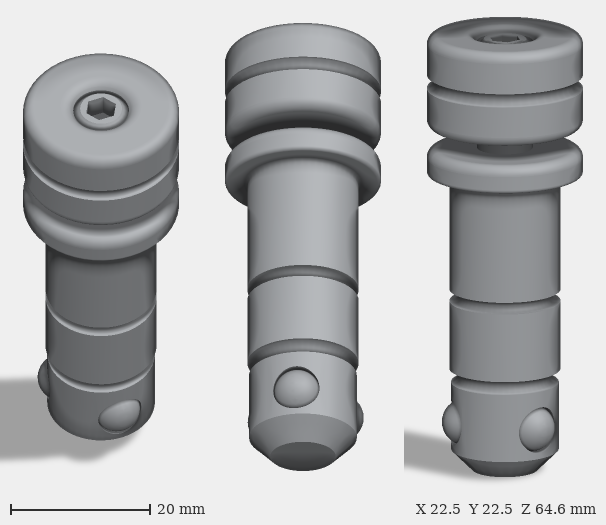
import cadquery as cq
import math


overall_height = 64.6

grip_radius = 11.25
grip_fillet = 1.5

groove_radius = 1.0

head_height = 13.95
head_bottom = overall_height - head_height
recess_radius = 5.8
recess_cone_radius = 4.4
recess_cone_angle = math.radians(45)

head_gap = 2.85
flange_top = head_bottom - head_gap
flange_height = 4.0
flange_bottom = flange_top - flange_height
flange_lower_fillet = 0.5
shank_radius = 8.0
shank_fillet = 0.5
neck_radius = 6.7

groove_cutter_clearance = 1.3
groove_cutter_radius = shank_radius + groove_cutter_clearance

upper_groove_center = 25.9
upper_groove_width = 1.75
upper_groove_fillet = 0.8

nose_radius = 7.75
nose_top = 13.0
nose_groove_center = nose_top + groove_radius
nose_chamfer = 3.05

ball_count = 3
ball_radius = 3.35
ball_offset = 5.8
ball_height = 7.3
ball_angles = [i * 360 / ball_count for i in range(ball_count)]

spindle_radius = 4.0
spindle_recess = 0.6
spindle_top = overall_height - spindle_recess
spindle_bottom = 11.6
spindle_chamfer = 1.0
hex_across_flats = 4.0
hex_depth = 3.2
hex_half_sector = 30


def make_head():
    """Round push button with a finger groove, bored for the spindle and dished at the top."""
    head = (
        cq.Workplane("XY", origin=(0, 0, head_bottom))
        .circle(grip_radius)
        .extrude(head_height)
        .edges()
        .fillet(grip_fillet)
    )
    middle = cq.Vector(0, 0, head_bottom + head_height / 2)
    groove = cq.Solid.makeTorus(grip_radius, groove_radius, middle, cq.Vector(0, 0, 1))
    return head.cut(cq.Workplane(groove)).cut(make_head_opening())


def make_head_opening():
    """Spindle bore opening through a cone into a lip that curves smoothly out to the top face."""
    lip_radius = (recess_radius - recess_cone_radius) / math.sin(recess_cone_angle)
    lip_bottom = overall_height - lip_radius * (1 - math.cos(recess_cone_angle))
    lip_middle = (
        recess_radius - lip_radius * math.sin(recess_cone_angle / 2),
        overall_height - lip_radius * (1 - math.cos(recess_cone_angle / 2)),
    )
    cone_depth = (recess_cone_radius - spindle_radius) * math.tan(recess_cone_angle)
    return (
        cq.Workplane("XZ")
        .moveTo(0, head_bottom)
        .lineTo(spindle_radius, head_bottom)
        .lineTo(spindle_radius, lip_bottom - cone_depth)
        .lineTo(recess_cone_radius, lip_bottom)
        .threePointArc(lip_middle, (recess_radius, overall_height))
        .lineTo(0, overall_height)
        .close()
        .revolve(360, (0, 0, 0), (0, 1, 0))
    )


def make_sleeve():
    """Flanged, grooved shank with a chamfered nose, a spindle bore and the ball pockets."""
    bore = (
        cq.Workplane("XY", origin=(0, 0, spindle_bottom))
        .circle(spindle_radius)
        .extrude(flange_top - spindle_bottom)
    )
    sleeve = make_flanged_shank().union(make_nose())
    sleeve = sleeve.cut(make_upper_groove()).cut(make_nose_groove()).cut(bore)
    for angle in ball_angles:
        sleeve = sleeve.cut(make_pocket(angle))
    return sleeve


def make_flanged_shank():
    """Cylinder under a round-edged flange, with a fillet in the corner between them."""
    shank = (
        cq.Workplane("XY", origin=(0, 0, nose_groove_center))
        .circle(shank_radius)
        .extrude(flange_bottom - nose_groove_center)
    )
    flange = (
        cq.Workplane("XY", origin=(0, 0, flange_bottom))
        .circle(grip_radius)
        .extrude(flange_height)
        .faces(">Z")
        .edges()
        .fillet(grip_fillet)
        .faces("<Z")
        .edges()
        .fillet(flange_lower_fillet)
    )
    flange_underside = cq.selectors.NearestToPointSelector((0, 0, flange_bottom))
    inner_edge = cq.selectors.RadiusNthSelector(0)
    return shank.union(flange).faces(flange_underside).edges(inner_edge).fillet(shank_fillet)


def make_nose():
    """Slightly narrower lower end, chamfered to lead into a hole."""
    return (
        cq.Workplane("XY")
        .circle(nose_radius)
        .extrude(nose_groove_center)
        .faces("<Z")
        .chamfer(nose_chamfer)
    )


def make_upper_groove():
    """Ring to remove around the shank, with rounded corners at the groove floor."""
    return (
        cq.Workplane("XY", origin=(0, 0, upper_groove_center - upper_groove_width / 2))
        .circle(groove_cutter_radius)
        .circle(neck_radius)
        .extrude(upper_groove_width)
        .edges(cq.selectors.RadiusNthSelector(0))
        .fillet(upper_groove_fillet)
    )


def make_nose_groove():
    """Half-round ring to remove above the nose, open outward through the wider shank."""
    bottom = nose_groove_center - groove_radius
    top = nose_groove_center + groove_radius
    return (
        cq.Workplane("XZ")
        .moveTo(groove_cutter_radius, bottom)
        .lineTo(nose_radius, bottom)
        .threePointArc((nose_radius - groove_radius, nose_groove_center), (nose_radius, top))
        .lineTo(groove_cutter_radius, top)
        .close()
        .revolve(360, (0, 0, 0), (0, 1, 0))
    )


def make_ball(angle):
    """One locking ball, standing out of the nose in the given direction."""
    ball = cq.Workplane("XY").sphere(ball_radius).translate((ball_offset, 0, ball_height))
    return ball.rotate((0, 0, 0), (0, 0, 1), angle)


def make_pocket(angle):
    """Radial round-bottomed hole that fits the ball in the given direction."""
    mouth = (
        cq.Workplane("YZ", origin=(ball_offset, 0, ball_height))
        .circle(ball_radius)
        .extrude(nose_radius)
        .rotate((0, 0, 0), (0, 0, 1), angle)
    )
    return make_ball(angle).union(mouth)


def make_spindle():
    """Rod through head and sleeve, with a chamfered top end and a hexagon socket."""
    rod = (
        cq.Workplane("XY", origin=(0, 0, spindle_bottom))
        .circle(spindle_radius)
        .extrude(spindle_top - spindle_bottom)
        .faces(">Z")
        .chamfer(spindle_chamfer)
    )
    across_corners = hex_across_flats / math.cos(math.radians(hex_half_sector))
    socket = (
        cq.Workplane("XY", origin=(0, 0, spindle_top))
        .polygon(6, across_corners)
        .extrude(-hex_depth)
        .rotate((0, 0, 0), (0, 0, 1), hex_half_sector)
    )
    return rod.cut(socket)


head = make_head()
sleeve = make_sleeve()
spindle = make_spindle()
balls = [make_ball(angle) for angle in ball_angles]

result = cq.Compound.makeCompound(
    [head.val(), sleeve.val(), spindle.val(), *[ball.val() for ball in balls]]
)